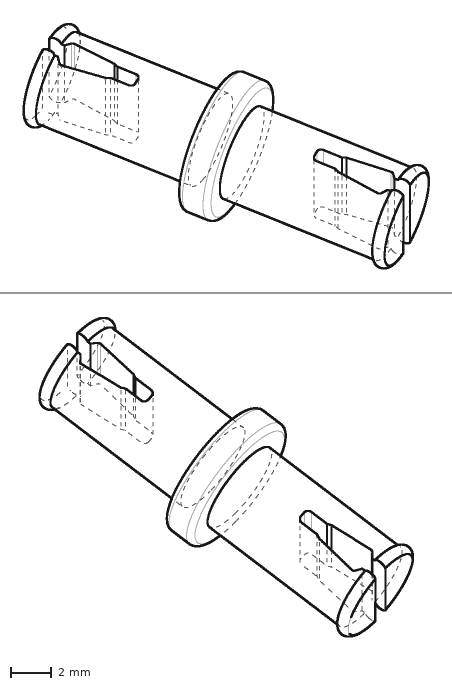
import cadquery as cq

LENGTH = 19.98
SHAFT_RADIUS = 4.95 / 2
HALF_LENGTH = LENGTH / 2

FLANGE_RADIUS = 7.5 / 2
FLANGE_WIDTH = 1.74
FLANGE_FILLET = 0.3

BEAD_RADIUS = 5.47 / 2
BEAD_WIDTH = 0.68

SLOT_HALF_WIDTH = 0.38
SLOT_DEPTH = 5.03
SLOT_END_FILLET = 0.24
NECK_DEPTH = 0.85
POCKET_HALF_WIDTH = 0.74
POCKET_START_DEPTH = 1.14
POCKET_CORNER_FILLET = 0.15
TAPER_END_DEPTH = 3.55
TAPER_END_HALF_WIDTH = 0.48
TAIL_START_DEPTH = 3.78


def make_shaft():
    """Revolve the shaft and its two end beads about the X axis."""
    bead_start = HALF_LENGTH - BEAD_WIDTH
    bead_crest = HALF_LENGTH - BEAD_WIDTH / 2
    return (
        cq.Workplane("XY")
        .moveTo(-HALF_LENGTH, 0)
        .lineTo(-HALF_LENGTH, SHAFT_RADIUS)
        .threePointArc((-bead_crest, BEAD_RADIUS), (-bead_start, SHAFT_RADIUS))
        .lineTo(bead_start, SHAFT_RADIUS)
        .threePointArc((bead_crest, BEAD_RADIUS), (HALF_LENGTH, SHAFT_RADIUS))
        .lineTo(HALF_LENGTH, 0)
        .close()
        .revolve(360, (0, 0, 0), (1, 0, 0))
    )


def make_flange():
    """Round-edged disc centred on the pin."""
    return (
        cq.Workplane("YZ")
        .circle(FLANGE_RADIUS)
        .extrude(FLANGE_WIDTH / 2, both=True)
        .edges("%CIRCLE")
        .fillet(FLANGE_FILLET)
    )


def make_left_slot():
    """Cutter for the left slot: a narrow neck, a tapering pocket and a rounded tail."""
    upper_side = [
        (0, SLOT_HALF_WIDTH),
        (NECK_DEPTH, SLOT_HALF_WIDTH),
        (POCKET_START_DEPTH, POCKET_HALF_WIDTH),
        (TAPER_END_DEPTH, TAPER_END_HALF_WIDTH),
        (TAIL_START_DEPTH, SLOT_HALF_WIDTH),
        (SLOT_DEPTH, SLOT_HALF_WIDTH),
    ]
    lower_side = [(depth, -half_width) for depth, half_width in reversed(upper_side)]
    slot = (
        cq.Workplane("XY")
        .polyline(upper_side + lower_side)
        .close()
        .extrude(BEAD_RADIUS, both=True)
    )
    slot = slot.edges("|Z and >X").fillet(SLOT_END_FILLET)
    for side in (">Y", "<Y"):
        slot = slot.edges("|Z").edges(side).fillet(POCKET_CORNER_FILLET)
    return slot.translate((-HALF_LENGTH, 0, 0))


left_slot = make_left_slot()
right_slot = left_slot.mirror("YZ")
result = make_shaft().union(make_flange()).cut(left_slot).cut(right_slot)